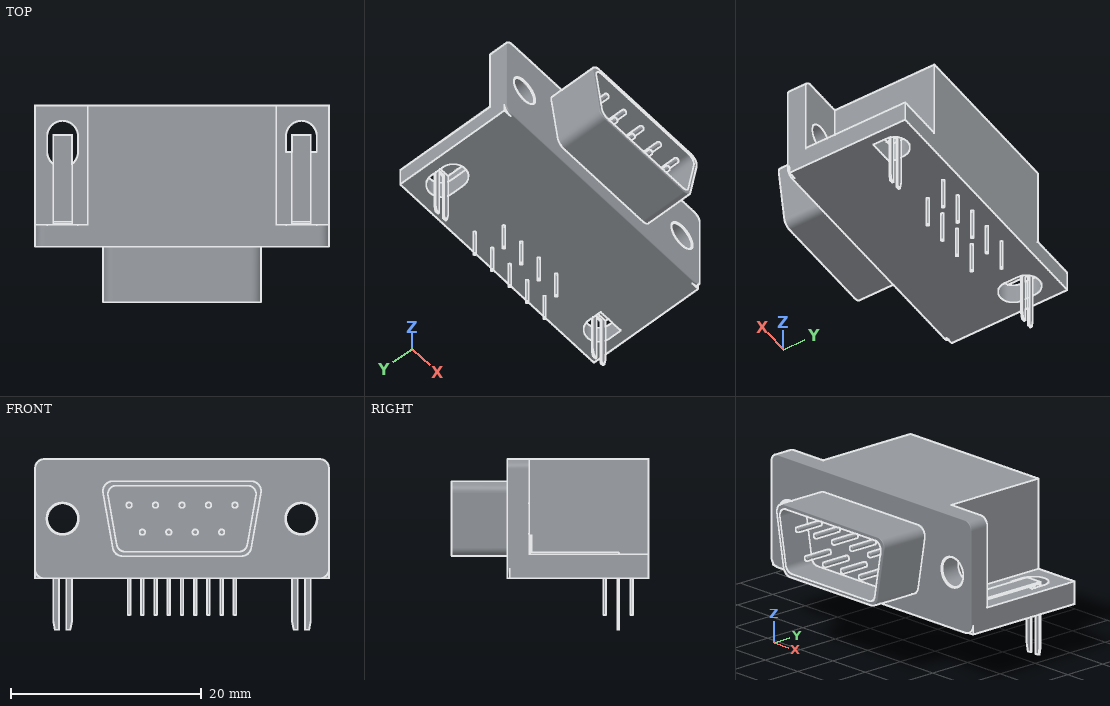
import cadquery as cq
import math


width = 30.8
housing_height = 12.5
wing_depth = 12.5
flange_thickness = 2.03
body_width = 19.7
wing_height = 2.53
mid_z = housing_height / 2
flange_front_y = -(wing_depth + flange_thickness)

plate_thickness = 0.28
plate_corner_radius = 1.0
edge_round = 0.1
plate_front_y = flange_front_y - plate_thickness

mount_x = 12.5
mount_diameter = 3.2
slot_rear_gap = 1.63
slot_arc_y = -(slot_rear_gap + mount_diameter / 2)
slot_front_y = -4.87

shell_length = 5.82
shell_height = 7.85
shell_mid_width = 15.6
shell_side_angle = 10.0
shell_wall = 0.45
shell_outer_radius = 1.05
shell_inner_radius = 0.9
cavity_depth = 3.7
shell_front_y = plate_front_y - shell_length
cavity_floor_y = shell_front_y + cavity_depth

contact_diameter = 0.6
contact_tip_diameter = 0.3
contact_tip_round = (contact_diameter - contact_tip_diameter) / 2
contact_pitch = 2.77
contact_row_gap = 2.83
contact_inset = 0.37
tail_diameter = 0.3
tail_length = 3.88
tail_tip_round = 0.1
rear_tail_y = -1.75
front_tail_y = rear_tail_y - contact_row_gap
root = 0.3

strap_width = 2.0
strap_thickness = 0.2
strap_bend_radius = 0.12
strap_rear_y = -3.08
strap_flange_gap = 0.1
strap_front_y = -(wing_depth - strap_flange_gap)
strap_top_z = wing_height + strap_thickness
tab_height = 2.0
leg_bottom_z = -5.4
leg_gap = 0.75
leg_gap_top_z = 2.0
leg_taper_height = 0.92
leg_taper = 0.2


def box(x_size, y_front, y_rear, z_low, z_high, x_mid=0.0):
    """Block given by its X size and its limits in Y and Z."""
    return cq.Workplane("XY").box(
        x_size, y_rear - y_front, z_high - z_low, centered=(True, False, False)
    ).translate((x_mid, y_front, z_low))


def facing(y):
    """Sketch plane at Y = y, centred on the plug, with its normal along -Y."""
    return cq.Workplane("XZ", origin=(0, y, mid_z))


def row_positions(count):
    """X positions of the contacts in one row, centred on X = 0."""
    return [(i - (count - 1) / 2) * contact_pitch for i in range(count)]


def make_housing():
    body = box(body_width, -wing_depth, 0, 0, housing_height)
    wings = box(width, -wing_depth, 0, 0, wing_height)
    flange = box(width, flange_front_y, -wing_depth, 0, housing_height)
    flange = flange.edges("|Y and >Z").fillet(plate_corner_radius)
    return body.union(wings).union(flange)


def make_plate():
    plate = facing(flange_front_y).rect(width, housing_height).extrude(plate_thickness)
    plate = plate.edges("|Y").fillet(plate_corner_radius)
    return plate.faces("<Y").edges().fillet(edge_round)


def d_prism(inset, corner_radius, y_start, length):
    """Rounded D-shaped prism, inset from the shell outline, running toward -Y."""
    half_height = shell_height / 2 - inset
    angle = math.radians(shell_side_angle)
    half_width = shell_mid_width / 2 - inset / math.cos(angle)
    slant = half_height * math.tan(angle)
    outline = [
        (-half_width - slant, half_height),
        (half_width + slant, half_height),
        (half_width - slant, -half_height),
        (-half_width + slant, -half_height),
    ]
    prism = facing(y_start).polyline(outline).close().extrude(length)
    return prism.edges("|Y").fillet(corner_radius)


def make_shell():
    outside = d_prism(0, shell_outer_radius, plate_front_y, shell_length)
    outside = outside.faces("<Y").edges().fillet(edge_round)
    inside = d_prism(shell_wall, shell_inner_radius, cavity_floor_y, cavity_depth)
    return outside.cut(inside)


def make_mount_hole(x):
    """Through hole in the flange and plate, with a chamfered mouth."""
    hole_length = flange_thickness + plate_thickness
    hole = facing(-wing_depth).center(x, 0).circle(mount_diameter / 2).extrude(hole_length)
    mouth_radius = mount_diameter / 2 + edge_round
    mouth = facing(plate_front_y).center(x, 0).circle(mouth_radius).extrude(-edge_round, taper=45)
    return hole.union(mouth)


def make_wing_slot(x, front_is_round):
    """Slot down through a wing, with a round rear end and a round or square front end."""
    slot = box(mount_diameter, slot_front_y, slot_arc_y, 0, wing_height, x)
    end = cq.Workplane("XY").circle(mount_diameter / 2).extrude(wing_height)
    slot = slot.union(end.translate((x, slot_arc_y, 0)))
    if front_is_round:
        slot = slot.union(end.translate((x, slot_front_y, 0)))
    return slot


def make_contact(x, z):
    start_y = cavity_floor_y + root
    contact = cq.Workplane("XZ", origin=(x, start_y, z)).circle(contact_diameter / 2)
    contact = contact.extrude(root + cavity_depth - contact_inset)
    return contact.faces("<Y").edges().fillet(contact_tip_round)


def make_tail(x, y):
    tail = cq.Workplane("XY", origin=(x, y, root)).circle(tail_diameter / 2)
    tail = tail.extrude(-(root + tail_length))
    return tail.faces("<Z").edges().chamfer(tail_tip_round)


def make_board_lock(x):
    """Bent strap: a tab behind the flange, a flat on the wing and a forked leg down the slot."""
    tab = box(strap_width, strap_front_y, strap_front_y + strap_thickness, wing_height,
              wing_height + tab_height)
    flat = box(strap_width, strap_front_y, strap_rear_y, wing_height, strap_top_z)
    half_width = strap_width / 2
    tip_half_width = half_width - leg_taper
    taper_z = leg_bottom_z + leg_taper_height
    leg_outline = [
        (-half_width, strap_top_z),
        (half_width, strap_top_z),
        (half_width, taper_z),
        (tip_half_width, leg_bottom_z),
        (-tip_half_width, leg_bottom_z),
        (-half_width, taper_z),
    ]
    leg = cq.Workplane("XZ", origin=(0, strap_rear_y, 0)).polyline(leg_outline).close()
    leg = leg.extrude(strap_thickness)
    lock = tab.union(flat).union(leg)
    lock = lock.faces(">Y").edges(">Z").fillet(strap_bend_radius)
    fork_gap = box(leg_gap, strap_rear_y - strap_thickness, strap_rear_y, leg_bottom_z, leg_gap_top_z)
    return lock.cut(fork_gap).translate((x, 0, 0))


result = make_housing().union(make_plate()).union(make_shell())

for side in (-1, 1):
    result = result.cut(make_mount_hole(side * mount_x))
    result = result.cut(make_wing_slot(side * mount_x, front_is_round=side < 0))
    result = result.union(make_board_lock(side * mount_x))

for count, row_side, tail_y in ((5, 1, rear_tail_y), (4, -1, front_tail_y)):
    for x in row_positions(count):
        result = result.union(make_contact(x, mid_z + row_side * contact_row_gap / 2))
        result = result.union(make_tail(x, tail_y))